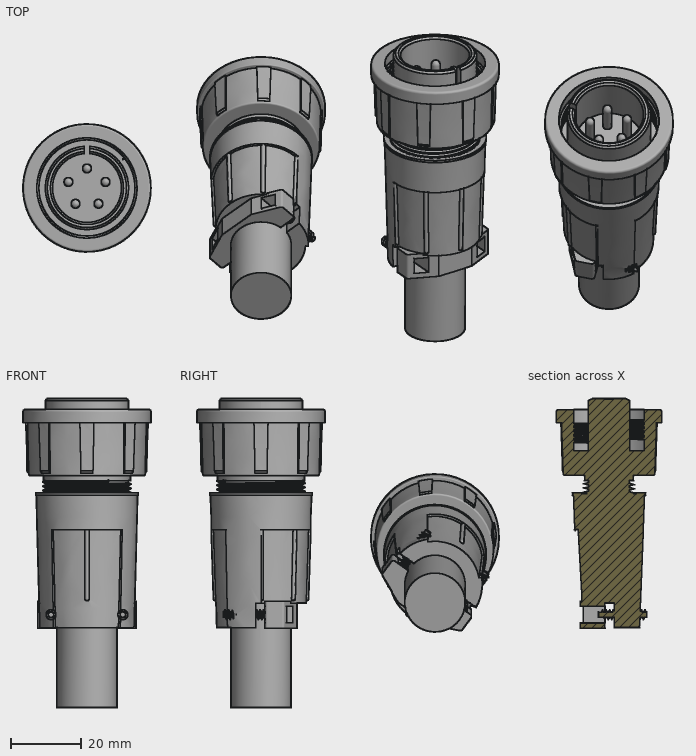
import cadquery as cq
import math


TOTAL_HEIGHT = 87.88
CLAMP_BOTTOM = 22.7
BODY_BOTTOM = 29.7
GRIP_TOP = 50.6
BODY_TOP = 61.1
NECK_THREAD_TOP = 64.5
NUT_BOTTOM = 65.9
FLANGE_BOTTOM = 80.9
FLANGE_TOP = 84.75
SOCKET_FLOOR = 73.0
PIN_TIP = 82.7

CABLE_RADIUS = 8.6
SHELL_RADIUS = 11.85
SHELL_BORE = 9.8
SHELL_CHAMFER = 0.6
KEYWAY_WIDTH = 1.65

PIN_COUNT = 5
PIN_RADIUS = 1.25
PIN_CIRCLE = 5.55

FLANGE_RADIUS = 36.45 / 2
FLANGE_TOP_FILLET = 0.7
FLANGE_BOTTOM_FILLET = 0.3
NUT_TOP_RADIUS = 17.0
NUT_BOTTOM_RADIUS = 16.6
NUT_FILLET = 0.5
NUT_RIB_ROOT = 15.3
NUT_BORE = 14.26
NUT_RIB_COUNT = 8
NUT_RIB_HEIGHT = 0.46
NUT_RIB_TOP_WIDTH = 4.0
NUT_RIB_BOTTOM_WIDTH = 3.4
NUT_RIB_END = 66.4
NUT_RIB_END_SLOPE = 0.9
NUT_THREAD_BOTTOM = 75.5
NUT_THREAD_TOP = 81.5
NUT_THREAD_DEPTH = 0.6

NECK_COLLAR_RADIUS = 12.4
NECK_ROOT_RADIUS = 11.8
NECK_THREAD_DEPTH = 0.8
THREAD_PITCH = 1.2

LIP_RADIUS = 14.6
LIP_HEIGHT = 0.7
BODY_TOP_RADIUS = 14.45
BODY_BOTTOM_RADIUS = 13.45
NECK_CLEARANCE_RADIUS = 12.8
NECK_CLEARANCE_DEPTH = 0.3
PANEL_TOP_RADIUS = 13.55
PANEL_BOTTOM_RADIUS = 12.65
GRIP_RIB_RADIUS = 0.65
GRIP_RIB_END = 31.0
GRIP_RIB_ANGLES = (0, 45, 90, 135, 180, 270)
PANEL_SECTORS = ((0, 180), (225, 90))

SADDLE_FACE_Y = -1.46
BRIDGE_HALF_LENGTH = 14.0
BRIDGE_BOTTOM = 22.5
BRIDGE_TOP = 30.2
BRIDGE_FRONT_Y = 1.08
BRIDGE_SHOULDER_Y = 6.5
BRIDGE_BACK_Y = 10.3
BRIDGE_BACK_HALF_LENGTH = 5.6
BRIDGE_FILLET = 0.8
NUT_SLOT_WIDTH = 3.8
NUT_SLOT_HEIGHT = 4.7

SCREW_X = 10.2
SCREW_Z = 26.4
SCREW_ROOT_RADIUS = 0.8
SCREW_THREAD_DEPTH = 0.6
SCREW_PITCH = 1.0
SCREW_TIP_Y = -10.8
SCREW_BACK_Y = 3.0

THREAD_BASE_RATIO = 0.8
OVERLAP = 0.15
OVERSIZE = 20.0


def cylinder(radius, bottom, top):
    return cq.Workplane("XY").workplane(offset=bottom).circle(radius).extrude(top - bottom)


def revolve_profile(points, angle=360):
    profile = cq.Workplane("XZ").polyline(points).close()
    return profile.revolve(angle, (0, 0, 0), (0, 1, 0))


def box_between(low, high):
    size = [b - a for a, b in zip(low, high)]
    return cq.Workplane("XY").box(*size, centered=False).translate(low)


def turn(shape, angle):
    return shape.rotate((0, 0, 0), (0, 0, 1), angle)


def around_axis(shape, count):
    """Copies of a shape evenly spaced about Z."""
    return [turn(shape, 360 / count * i) for i in range(count)]


def join_all(shapes):
    """Fuse overlapping shapes in a single operation."""
    first, *others = [shape.val() for shape in shapes]
    return cq.Workplane(obj=first.fuse(*others))


def thread_ridge(root, depth, pitch, bottom, top):
    """Helical triangular ridge about Z; a negative depth points inward."""
    half_base = THREAD_BASE_RATIO * pitch / 2
    buried_root = root - math.copysign(OVERLAP, depth)
    helix = cq.Wire.makeHelix(pitch, top - bottom, root)
    profile = (
        cq.Workplane("XZ")
        .moveTo(buried_root, -half_base)
        .lineTo(root + depth, 0)
        .lineTo(buried_root, half_base)
        .close()
    )
    ridge = profile.sweep(cq.Workplane(obj=helix), isFrenet=True)
    return ridge.translate((0, 0, bottom))


def panel_radius(z):
    """Radius of the tapered grip panels."""
    slope = (PANEL_TOP_RADIUS - PANEL_BOTTOM_RADIUS) / (GRIP_TOP - CLAMP_BOTTOM)
    return PANEL_BOTTOM_RADIUS + slope * (z - CLAMP_BOTTOM)


def make_contact_shell():
    """Open contact socket with a keyway slot through its +Y wall."""
    shell = cylinder(SHELL_RADIUS, NUT_BOTTOM, TOTAL_HEIGHT)
    bore = cylinder(SHELL_BORE, SOCKET_FLOOR, TOTAL_HEIGHT)
    shell = shell.cut(bore).faces(">Z").chamfer(SHELL_CHAMFER)
    keyway = box_between(
        (-KEYWAY_WIDTH / 2, 0, SOCKET_FLOOR),
        (KEYWAY_WIDTH / 2, SHELL_RADIUS + OVERLAP, TOTAL_HEIGHT),
    )
    return shell.cut(keyway)


def make_pins():
    pin = cylinder(PIN_RADIUS, SOCKET_FLOOR - OVERLAP, PIN_TIP - PIN_RADIUS)
    tip = cq.Workplane("XY").sphere(PIN_RADIUS).translate((0, 0, PIN_TIP - PIN_RADIUS))
    pin = pin.union(tip).translate((0, PIN_CIRCLE, 0))
    return around_axis(pin, PIN_COUNT)


def make_nut_rib():
    """Tapered grip rib on the -Y side of the nut, sloped off at its lower end."""
    rib = revolve_profile([
        (0, NUT_RIB_END),
        (NUT_BOTTOM_RADIUS - OVERLAP, NUT_RIB_END),
        (NUT_BOTTOM_RADIUS + NUT_RIB_HEIGHT, NUT_RIB_END + NUT_RIB_END_SLOPE),
        (NUT_TOP_RADIUS + NUT_RIB_HEIGHT, FLANGE_BOTTOM),
        (0, FLANGE_BOTTOM),
    ])
    strip = (
        cq.Workplane("XZ")
        .moveTo(-NUT_RIB_BOTTOM_WIDTH / 2, NUT_RIB_END)
        .lineTo(NUT_RIB_BOTTOM_WIDTH / 2, NUT_RIB_END)
        .lineTo(NUT_RIB_TOP_WIDTH / 2, FLANGE_BOTTOM)
        .lineTo(-NUT_RIB_TOP_WIDTH / 2, FLANGE_BOTTOM)
        .close()
        .extrude(OVERSIZE)
    )
    inner_core = cylinder(NUT_RIB_ROOT, NUT_RIB_END, FLANGE_BOTTOM)
    return rib.intersect(strip).cut(inner_core)


def make_coupling_nut():
    """Flanged nut with outer grip ribs and an internally threaded bore."""
    nut = revolve_profile([
        (0, NUT_BOTTOM),
        (NUT_BOTTOM_RADIUS, NUT_BOTTOM),
        (NUT_TOP_RADIUS, FLANGE_BOTTOM),
        (0, FLANGE_BOTTOM),
    ])
    nut = nut.faces("<Z").edges().fillet(NUT_FILLET)
    flange = cylinder(FLANGE_RADIUS, FLANGE_BOTTOM, FLANGE_TOP)
    flange = flange.faces(">Z").edges().fillet(FLANGE_TOP_FILLET)
    flange = flange.faces("<Z").edges().fillet(FLANGE_BOTTOM_FILLET)
    nut = nut.union(flange)
    nut = nut.cut(cylinder(NUT_BORE, SOCKET_FLOOR, FLANGE_TOP))
    thread = thread_ridge(
        NUT_BORE, -NUT_THREAD_DEPTH, THREAD_PITCH, NUT_THREAD_BOTTOM, NUT_THREAD_TOP
    )
    return join_all([nut, thread] + around_axis(make_nut_rib(), NUT_RIB_COUNT))


def make_neck():
    """Threaded neck and plain collar joining the body to the nut."""
    neck = cylinder(NECK_ROOT_RADIUS, BODY_TOP - THREAD_PITCH, NECK_THREAD_TOP)
    collar = cylinder(NECK_COLLAR_RADIUS, NECK_THREAD_TOP, NUT_BOTTOM)
    ridge = thread_ridge(
        NECK_ROOT_RADIUS,
        NECK_THREAD_DEPTH,
        THREAD_PITCH,
        BODY_TOP - THREAD_PITCH,
        NECK_THREAD_TOP,
    )
    return neck.union(ridge).union(collar)


def make_grip_rib():
    """Round-backed rib lying along the panel taper on the +X side."""
    start = cq.Vector(panel_radius(GRIP_RIB_END), 0, GRIP_RIB_END)
    end = cq.Vector(panel_radius(GRIP_TOP), 0, GRIP_TOP)
    rod = cq.Solid.makeCylinder(GRIP_RIB_RADIUS, (end - start).Length, start, end - start)
    ball = cq.Workplane("XY").sphere(GRIP_RIB_RADIUS).translate(start)
    return ball.union(cq.Workplane(obj=rod))


def make_panel_recess(start, span):
    """Stock removed outside the panel taper over one sector about Z."""
    recess = revolve_profile([
        (PANEL_BOTTOM_RADIUS, CLAMP_BOTTOM),
        (OVERSIZE, CLAMP_BOTTOM),
        (OVERSIZE, GRIP_TOP),
        (PANEL_TOP_RADIUS, GRIP_TOP),
    ], span)
    return turn(recess, start)


def make_body():
    """Tapered body with recessed ribbed panels and the front saddle below it."""
    lip_bottom = BODY_TOP - LIP_HEIGHT
    body = revolve_profile([
        (0, CLAMP_BOTTOM),
        (BODY_BOTTOM_RADIUS, CLAMP_BOTTOM),
        (BODY_TOP_RADIUS, lip_bottom),
        (LIP_RADIUS, lip_bottom),
        (LIP_RADIUS, BODY_TOP),
        (0, BODY_TOP),
    ])
    for start, span in PANEL_SECTORS:
        body = body.cut(make_panel_recess(start, span))
    rib = make_grip_rib()
    body = join_all([body] + [turn(rib, angle) for angle in GRIP_RIB_ANGLES])
    rear_clearance = box_between(
        (-OVERSIZE, SADDLE_FACE_Y, CLAMP_BOTTOM - OVERLAP),
        (OVERSIZE, OVERSIZE, BODY_BOTTOM),
    )
    neck_clearance = cylinder(NECK_CLEARANCE_RADIUS, BODY_TOP - NECK_CLEARANCE_DEPTH, BODY_TOP)
    return body.cut(rear_clearance).cut(neck_clearance)


def make_clamp_bridge():
    """Rear clamp bar with two slots holding the screw nuts."""
    bridge = (
        cq.Workplane("XY")
        .workplane(offset=BRIDGE_BOTTOM)
        .moveTo(-BRIDGE_HALF_LENGTH, BRIDGE_FRONT_Y)
        .lineTo(BRIDGE_HALF_LENGTH, BRIDGE_FRONT_Y)
        .lineTo(BRIDGE_HALF_LENGTH, BRIDGE_SHOULDER_Y)
        .lineTo(BRIDGE_BACK_HALF_LENGTH, BRIDGE_BACK_Y)
        .lineTo(-BRIDGE_BACK_HALF_LENGTH, BRIDGE_BACK_Y)
        .lineTo(-BRIDGE_HALF_LENGTH, BRIDGE_SHOULDER_Y)
        .close()
        .extrude(BRIDGE_TOP - BRIDGE_BOTTOM)
    )
    bridge = bridge.edges("|Z and (<X or >X)").fillet(BRIDGE_FILLET)
    for side in (-1, 1):
        slot = cq.Workplane("XY").box(NUT_SLOT_WIDTH, OVERSIZE * 2, NUT_SLOT_HEIGHT)
        bridge = bridge.cut(slot.translate((side * SCREW_X, 0, SCREW_Z)))
    return bridge


def make_screw():
    """Threaded screw along Z with its tip at the top end."""
    length = SCREW_BACK_Y - SCREW_TIP_Y
    core = cylinder(SCREW_ROOT_RADIUS, 0, length)
    ridge = thread_ridge(
        SCREW_ROOT_RADIUS, SCREW_THREAD_DEPTH, SCREW_PITCH, SCREW_PITCH, length - SCREW_PITCH / 2
    )
    return core.union(ridge)


def make_screws():
    screw = make_screw().rotate((0, 0, 0), (1, 0, 0), 90)
    left = screw.translate((-SCREW_X, SCREW_BACK_Y, SCREW_Z))
    right = screw.translate((SCREW_X, SCREW_BACK_Y, SCREW_Z))
    return [left, right]


cable = cylinder(CABLE_RADIUS, 0, BODY_TOP)
sections = [make_body(), make_clamp_bridge(), make_neck(), make_coupling_nut(), make_contact_shell()]
result = join_all([cable] + sections + make_screws() + make_pins())